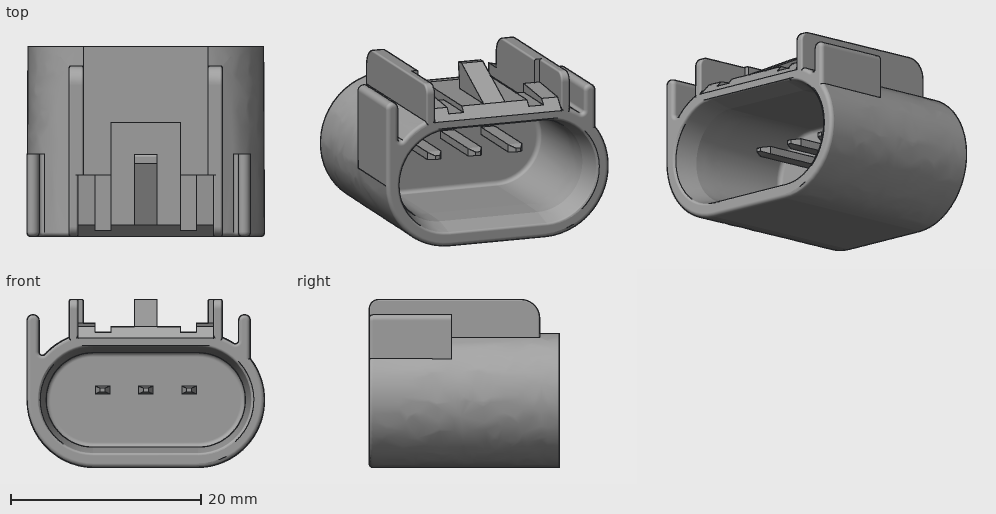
import cadquery as cq
import math

width = 25.0
depth = 20.0
height = 17.7

shell_radius = 7.12
axis_z = shell_radius
arc_x = width / 2 - shell_radius
rear_narrowing = 0.1
front_round = 0.42
rim_length = 0.5

cavity_arc_x = 5.5
lip_wall = 1.48
lip_round = 0.28
entry_depth = 2.7
entry_wall = 2.1
draft_depth = 6.12
deep_wall = 2.15
cavity_depth = 15.0
floor_round = 0.48

pin_pitch = 4.55
pin_z = 8.18
pin_width, pin_height = 1.52, 0.8
pin_tip_width, pin_tip_height = 0.52, 0.4
pin_tip_y = 6.0
pin_taper_length = 1.0
pin_embed = 0.25

wing_length = 8.68
wing_top = 16.1
wing_sides = ((-width / 2, -11.2), (11.0, 9.75))
wing_root_round = 0.32

rail_outer = 8.05
rail_inner_front = 7.12
rail_inner_rear = 6.55
rail_rear_y = 17.95
rail_root_z = 13.25
rail_front_corner = 1.0
rail_rear_corner = 2.0
rail_edge_round = 0.2

channel_floor = 12.88
deck_length = 6.48
slot_floor = 14.1
slot_inner, slot_outer = 3.68, 5.32
pad_top = 14.82
pad_length = 12.0
ramp_top = 15.2
deck_front_edge = 13.62

latch_half_width = 1.2
latch_rear_y = wing_length
latch_base_y = 8.22
latch_crest_y = 7.68
latch_round = 0.3

bevel_run = pad_top - deck_front_edge


def box(x0, x1, y0, y1, z0, z1):
    """Block between two opposite corners."""
    return cq.Workplane("XY").box(x1 - x0, y1 - y0, z1 - z0, centered=False).translate((x0, y0, z0))


def side_profile(points, x0, x1):
    """Extrude a (y, z) polygon from x0 to x1."""
    return cq.Workplane("YZ", origin=(x0, 0, 0)).polyline(points).close().extrude(x1 - x0)


def oblong_wire(half_length, radius, y):
    """Oblong outline centred on the shell axis, lying in the plane at depth y."""
    return (
        cq.Workplane("XZ", origin=(0, y, 0))
        .center(0, axis_z)
        .slot2D(2 * (half_length + radius), 2 * radius)
        .wires()
        .val()
    )


def oblong_loft(half_length_0, radius_0, y0, half_length_1, radius_1, y1):
    """Ruled solid between two oblong outlines at depths y0 and y1."""
    wires = [oblong_wire(half_length_0, radius_0, y0), oblong_wire(half_length_1, radius_1, y1)]
    return cq.Workplane(cq.Solid.makeLoft(wires, True))


def wing(outer, inner, front_y, rear_y):
    """Stretch of an upright wing with a full-round top and a rounded root on the shell.

    The root round touches the inner wing face and the outside of the shell's end arc.
    """
    inward = math.copysign(1, inner - outer)
    top_radius = abs(outer - inner) / 2
    shoulder = wing_top - top_radius
    centre_x = math.copysign(arc_x, outer)
    root_x = inner + inward * wing_root_round
    reach = shell_radius + wing_root_round
    root_z = axis_z + math.sqrt(reach**2 - (root_x - centre_x) ** 2)
    shell_dir = ((centre_x - root_x) / reach, (axis_z - root_z) / reach)
    touch = (root_x + wing_root_round * shell_dir[0], root_z + wing_root_round * shell_dir[1])
    bisector = (shell_dir[0] - inward, shell_dir[1])
    mid_scale = wing_root_round / math.hypot(*bisector)
    root_mid = (root_x + mid_scale * bisector[0], root_z + mid_scale * bisector[1])
    return (
        cq.Workplane("XZ", origin=(0, front_y, 0))
        .moveTo(outer, axis_z)
        .lineTo(outer, shoulder)
        .threePointArc(((outer + inner) / 2, wing_top), (inner, shoulder))
        .lineTo(inner, root_z)
        .threePointArc(root_mid, touch)
        .lineTo(touch[0], axis_z)
        .close()
        .extrude(front_y - rear_y)
    )


def shell():
    """Outer body with both wings, its front outline rounded over."""
    rim = oblong_loft(arc_x, shell_radius, 0, arc_x, shell_radius, rim_length)
    for outer, inner in wing_sides:
        rim = rim.union(wing(outer, inner, 0, rim_length))
    rim = rim.faces("<Y").edges().fillet(front_round)
    rear_arc_x = arc_x - rear_narrowing
    body = oblong_loft(arc_x, shell_radius, rim_length, rear_arc_x, shell_radius, depth)
    for outer, inner in wing_sides:
        body = body.union(wing(outer, inner, rim_length, wing_length))
    return body.union(rim)


def cavity():
    """Blind oblong socket: steep lead-in, light draft, then straight to the floor."""
    lip, entry, deep = (shell_radius - wall for wall in (lip_wall, entry_wall, deep_wall))
    lead_in = oblong_loft(cavity_arc_x, lip, 0, cavity_arc_x, entry, entry_depth)
    drafted = oblong_loft(cavity_arc_x, entry, entry_depth, cavity_arc_x, deep, draft_depth)
    straight = oblong_loft(cavity_arc_x, deep, draft_depth, cavity_arc_x, deep, cavity_depth)
    straight = straight.faces(">Y").edges().fillet(floor_round)
    return lead_in.union(drafted).union(straight)


def pin(x):
    """Rectangular contact pin with a tapered tip, standing on the cavity floor."""
    shank_y = pin_tip_y + pin_taper_length
    shank = box(
        x - pin_width / 2, x + pin_width / 2,
        shank_y, cavity_depth + pin_embed,
        pin_z - pin_height / 2, pin_z + pin_height / 2,
    )
    tip = (
        cq.Workplane("XZ", origin=(x, pin_tip_y, pin_z))
        .rect(pin_tip_width, pin_tip_height)
        .workplane(offset=-pin_taper_length)
        .rect(pin_width, pin_height)
        .loft(ruled=True)
    )
    return shank.union(tip)


def rail_slab(inner):
    """Right-hand rail of constant thickness with rounded corners and edges."""
    slab = box(inner, rail_outer, 0, rail_rear_y, rail_root_z, height)
    slab = slab.edges("|X and >Z and <Y").fillet(rail_front_corner)
    slab = slab.edges("|X and >Z and >Y").fillet(rail_rear_corner)
    exposed_edges = slab.faces("<X or >X").edges("not <Z")
    return exposed_edges.fillet(rail_edge_round)


def rail():
    """Right-hand rail, thicker on its inner side behind the deck."""
    rear_zone = box(0, width, deck_length, depth, 0, height)
    return rail_slab(rail_inner_front).union(rail_slab(rail_inner_rear).intersect(rear_zone))


def ramp():
    """Sloped block between the right-hand slot and the rail."""
    points = [
        (0, channel_floor),
        (0, pad_top),
        (bevel_run, pad_top),
        (deck_length, ramp_top),
        (deck_length, channel_floor),
    ]
    return side_profile(points, slot_outer, rail_inner_front)


def deck():
    """Raised front deck: centre pad, two slots and a ramp beside each rail."""
    plate = box(-rail_inner_front, rail_inner_front, 0, deck_length, channel_floor, slot_floor)
    pad = box(-slot_inner, slot_inner, 0, pad_length, channel_floor, pad_top)
    right_ramp = ramp()
    return plate.union(pad).union(right_ramp).union(right_ramp.mirror("YZ"))


def front_bevel():
    """45 degree cutter across the front of the deck."""
    points = [(0, deck_front_edge), (0, height), (height - deck_front_edge, height)]
    return side_profile(points, -rail_inner_front, rail_inner_front)


def latch():
    """Wedge rising rearward from the bevel to an undercut catch face."""
    points = [
        (bevel_run, pad_top),
        (latch_crest_y, height),
        (latch_rear_y, height),
        (latch_base_y, pad_top),
        (latch_base_y, slot_floor),
        (bevel_run, slot_floor),
    ]
    wedge = side_profile(points, -latch_half_width, latch_half_width)
    return wedge.edges("|X and >Z and >Y").fillet(latch_round)


channel = box(-rail_inner_rear, rail_inner_rear, deck_length, depth, channel_floor, height)
housing = shell().cut(cavity())
mouth = housing.faces("<Y").val().innerWires()[0]
housing = housing.newObject(mouth.Edges()).fillet(lip_round)

result = housing.cut(channel).union(deck()).cut(front_bevel()).union(latch())

for pin_index in (-1, 0, 1):
    result = result.union(pin(pin_index * pin_pitch))

right_rail = rail()
result = result.union(right_rail).union(right_rail.mirror("YZ"))